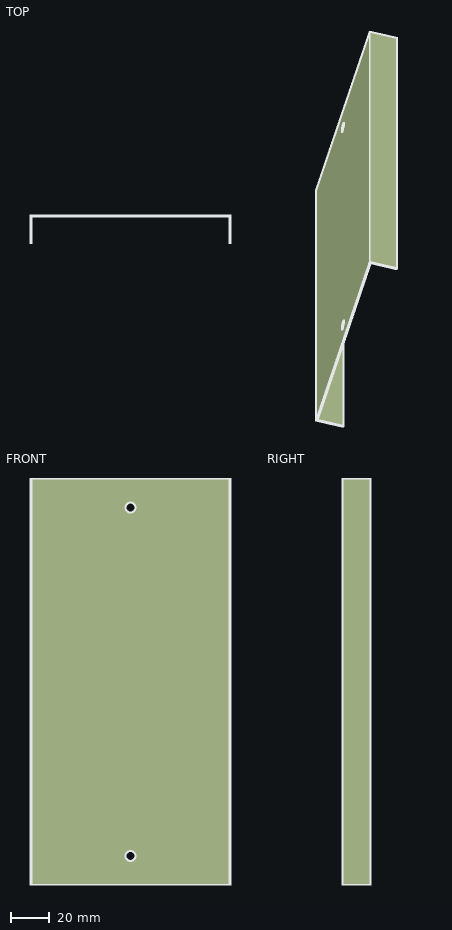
import cadquery as cq

width = 103.5
depth = 14.7
height = 210.0
sheet_thickness = 0.75

hole_diameter = 5.0
hole_end_distance = 15.0
hole_spacing = height - 2 * hole_end_distance


def make_channel():
    """Channel centred on the origin, with its web at +Y and open towards -Y."""
    block = cq.Workplane("XY").box(width, depth, height)
    inner_width = width - 2 * sheet_thickness
    cavity = cq.Workplane("XY").box(inner_width, depth, height).translate((0, -sheet_thickness, 0))
    return block.cut(cavity)


def make_hole_cutters():
    """Two pins along Y, on the centreline near the top and bottom ends."""
    return (
        cq.Workplane("XZ")
        .rarray(2, hole_spacing, 1, 2)
        .circle(hole_diameter / 2)
        .extrude(depth, both=True)
    )


result = make_channel().cut(make_hole_cutters())